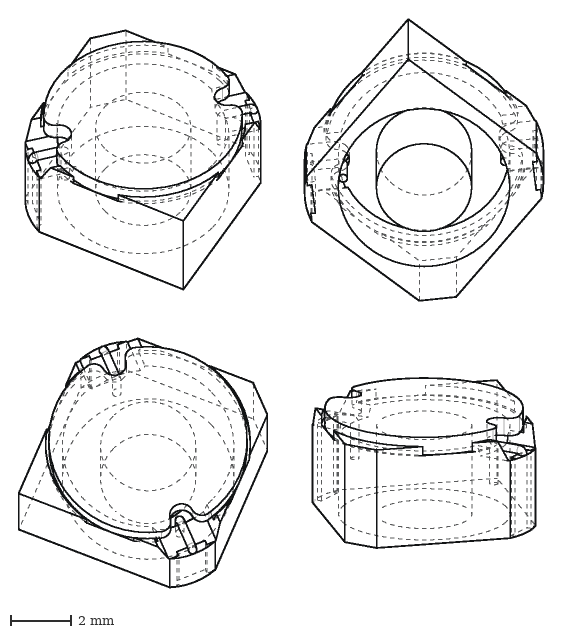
import cadquery as cq
import math

SIDE = 6.6
HALF = SIDE / 2
TOTAL_HEIGHT = 3.71
SHIELD_HEIGHT = 3.42
CHAMFER = 0.87
ROUND_START = 2.14
ROUND_REACH = 3.985
BORE_RADIUS = 2.85
RECESS_RADIUS = 3.405
RECESS_FLOOR = 3.1

SHELF_HEIGHT = 2.705
NOTCH_HALF_BASE = 0.86
NOTCH_HALF_TOP = 1.12

FLANGE_RADIUS = 3.3
POST_RADIUS = 1.585
WIRE_SLOT_RADIUS = 0.395
WIRE_SLOT_REACH = 2.905
WIRE_SLOT_LIP_RADIUS = 0.36

TAB_INNER = 3.695
TAB_HALF_WIDTH = 0.51
WIRE_RADIUS = 0.14
WIRE_BEND = 0.145
WIRE_END = 1.51

CORNER_ANGLES = (45, 225)
CHORD_REACH = (HALF + ROUND_START) / math.sqrt(2)
CHORD_HALF = (HALF - ROUND_START) / math.sqrt(2)


def turn(body, angle):
    return body.rotate((0, 0, 0), (0, 0, 1), angle)


def polar(radius, degrees):
    angle = math.radians(degrees)
    return (radius * math.cos(angle), radius * math.sin(angle))


def make_terminal():
    """Rounded corner segment with a rectangular tab, on the +X axis."""
    segment = (
        cq.Workplane("XY")
        .moveTo(CHORD_REACH, -CHORD_HALF)
        .threePointArc((ROUND_REACH, 0), (CHORD_REACH, CHORD_HALF))
        .close()
        .extrude(SHELF_HEIGHT)
    )
    tab = (
        cq.Workplane("XY")
        .moveTo(TAB_INNER, -TAB_HALF_WIDTH)
        .lineTo(CHORD_REACH, -TAB_HALF_WIDTH)
        .lineTo(CHORD_REACH, TAB_HALF_WIDTH)
        .lineTo(TAB_INNER, TAB_HALF_WIDTH)
        .close()
        .extrude(SHELF_HEIGHT)
    )
    return segment.union(tab)


def make_wire():
    """Staple-shaped wire: one leg in the bore, one leg in the terminal, on the +X axis."""
    inner_leg = BORE_RADIUS - WIRE_BEND
    outer_leg = TAB_INNER + WIRE_BEND
    bridge_height = SHELF_HEIGHT + WIRE_BEND
    bend_offset = WIRE_BEND * math.sqrt(0.5)
    path = (
        cq.Workplane("XZ")
        .moveTo(inner_leg, WIRE_END)
        .lineTo(inner_leg, SHELF_HEIGHT)
        .threePointArc(
            (BORE_RADIUS - bend_offset, SHELF_HEIGHT + bend_offset),
            (BORE_RADIUS, bridge_height),
        )
        .lineTo(TAB_INNER, bridge_height)
        .threePointArc(
            (TAB_INNER + bend_offset, SHELF_HEIGHT + bend_offset),
            (outer_leg, SHELF_HEIGHT),
        )
        .lineTo(outer_leg, WIRE_END)
    )
    return (
        cq.Workplane("XY", origin=(inner_leg, 0, WIRE_END))
        .circle(WIRE_RADIUS)
        .sweep(path)
    )


def make_notch():
    """Trapezoidal cutter that leaves the shelf, from the axis out along +X."""
    return (
        cq.Workplane("YZ")
        .moveTo(-NOTCH_HALF_BASE, SHELF_HEIGHT)
        .lineTo(NOTCH_HALF_BASE, SHELF_HEIGHT)
        .lineTo(NOTCH_HALF_TOP, SHIELD_HEIGHT)
        .lineTo(-NOTCH_HALF_TOP, SHIELD_HEIGHT)
        .close()
        .extrude(SIDE)
    )


def make_shield(leads):
    round_mid = ROUND_REACH / math.sqrt(2)
    shield = (
        cq.Workplane("XY")
        .moveTo(-ROUND_START, -HALF)
        .lineTo(HALF, -HALF)
        .lineTo(HALF, ROUND_START)
        .threePointArc((round_mid, round_mid), (ROUND_START, HALF))
        .lineTo(CHAMFER - HALF, HALF)
        .lineTo(-HALF, HALF - CHAMFER)
        .lineTo(-HALF, -ROUND_START)
        .threePointArc((-round_mid, -round_mid), (-ROUND_START, -HALF))
        .close()
        .extrude(SHIELD_HEIGHT)
    )
    bore = cq.Workplane("XY").circle(BORE_RADIUS).extrude(SHIELD_HEIGHT)
    recess = (
        cq.Workplane("XY", origin=(0, 0, RECESS_FLOOR))
        .circle(RECESS_RADIUS)
        .extrude(SHIELD_HEIGHT - RECESS_FLOOR)
    )
    shield = shield.cut(bore).cut(recess)
    for angle in CORNER_ANGLES:
        shield = shield.cut(turn(make_notch(), angle))
    for lead in leads:
        shield = shield.cut(lead)
    return shield


def make_core():
    """Flange with two rounded wire slots, on a post down to the underside."""
    lip_reach = FLANGE_RADIUS - WIRE_SLOT_LIP_RADIUS
    lip_gap = WIRE_SLOT_RADIUS + WIRE_SLOT_LIP_RADIUS
    cos_lip = (lip_reach**2 + WIRE_SLOT_REACH**2 - lip_gap**2) / (2 * lip_reach * WIRE_SLOT_REACH)
    lip_angle = math.degrees(math.acos(cos_lip))

    def slot_points(angle):
        """Seven points across one slot: rim, lip, slot bottom, lip, rim."""
        slot = cq.Vector(*polar(WIRE_SLOT_REACH, angle))
        sides = []
        for side in (-1, 1):
            lip = cq.Vector(*polar(lip_reach, angle + side * lip_angle))
            rim_point = cq.Vector(*polar(FLANGE_RADIUS, angle + side * lip_angle))
            slot_point = slot + (lip - slot).normalized() * WIRE_SLOT_RADIUS
            bisector = ((rim_point - lip) + (slot_point - lip)).normalized()
            lip_middle = lip + bisector * WIRE_SLOT_LIP_RADIUS
            sides.append([rim_point, lip_middle, slot_point])
        bottom = cq.Vector(*polar(WIRE_SLOT_REACH - WIRE_SLOT_RADIUS, angle))
        return [*sides[0], bottom, *reversed(sides[1])]

    first, second = [slot_points(angle) for angle in CORNER_ANGLES]
    outline = cq.Workplane("XY", origin=(0, 0, RECESS_FLOOR)).moveTo(first[0].x, first[0].y)
    rim_middle = cq.Vector(*polar(FLANGE_RADIUS, sum(CORNER_ANGLES) / 2))
    for points, next_start, rim in ((first, second[0], rim_middle), (second, first[0], -rim_middle)):
        stops = [*points, rim, next_start]
        for middle, end in zip(stops[1::2], stops[2::2]):
            outline = outline.threePointArc((middle.x, middle.y), (end.x, end.y))
    flange = outline.close().extrude(TOTAL_HEIGHT - RECESS_FLOOR)
    post = cq.Workplane("XY").circle(POST_RADIUS).extrude(RECESS_FLOOR)
    return flange.union(post)


lead_shape = make_terminal().union(make_wire())
leads = [turn(lead_shape, angle) for angle in CORNER_ANGLES]
shield = make_shield(leads)
core = make_core()

result = cq.Compound.makeCompound([shield.val(), core.val(), *[lead.val() for lead in leads]])